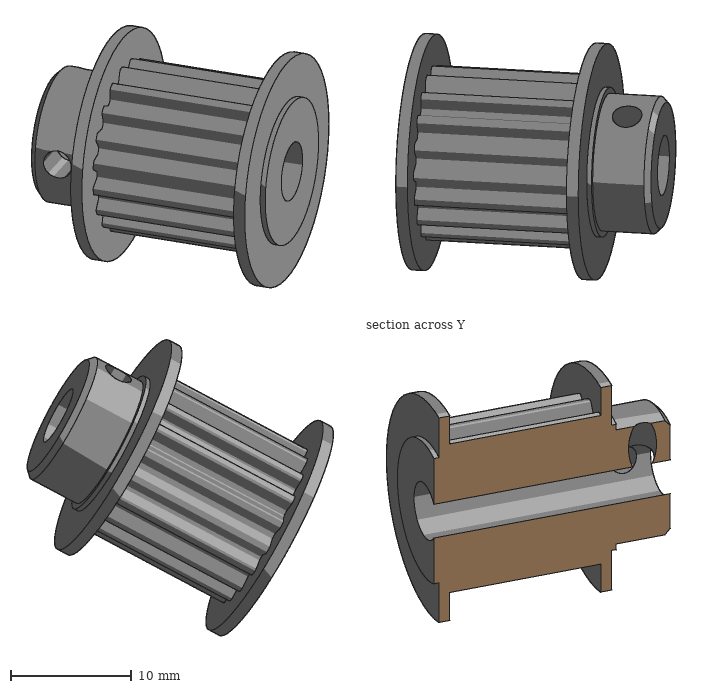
import cadquery as cq
import math


hub_end = 4.85
flange_1_start = 5.25
flange_2_start = 19.75
flange_thickness = 1.0
total_length = 21.2

bore_diameter = 5.0
hub_diameter = 11.5
collar_diameter = 12.5
flange_diameter = 19.75
hub_chamfer = 0.5

tooth_count = 19
tip_radius = 7.3
groove_depth = 0.97
floor_half_width = 0.182
floor_tilt = 6.3
root_fillet = 0.205
flank_angle = 33.75
tip_fillet = 0.265

screw_diameter = 2.46
screw_x = 2.5
screw_angles = (0, 120)

pitch_angle = 360 / tooth_count


def disc(diameter, start, end):
    """Cylinder on the X axis between two stations."""
    return cq.Workplane("YZ", origin=(start, 0, 0)).circle(diameter / 2).extrude(end - start)


def turned(point, angle):
    """Turn a (Y, Z) point about the X axis by an angle in degrees."""
    y, z = point
    c = math.cos(math.radians(angle))
    s = math.sin(math.radians(angle))
    return (y * c - z * s, y * s + z * c)


def polar(centre, radius, direction):
    """Point at a distance from a centre, in a direction in degrees from +Y towards +Z."""
    a = math.radians(direction)
    return (centre[0] + radius * math.cos(a), centre[1] + radius * math.sin(a))


def groove_points():
    """Points of the +Y half of a groove on +Z: bottom, floor edge, middle of the root
    fillet, flank foot, flank top, middle of the tip fillet, start of the tip land."""
    bottom = (0, tip_radius - groove_depth)
    floor_edge = (
        floor_half_width,
        bottom[1] + floor_half_width * math.tan(math.radians(floor_tilt)),
    )
    floor_normal = 90 + floor_tilt
    flank_normal = 180 - flank_angle
    root_centre = polar(floor_edge, root_fillet, floor_normal)
    root_middle = polar(root_centre, -root_fillet, (floor_normal + flank_normal) / 2)
    flank_foot = polar(root_centre, -root_fillet, flank_normal)

    start = polar(flank_foot, -tip_fillet, flank_normal)
    flank_direction = math.radians(90 - flank_angle)
    advance = start[0] * math.cos(flank_direction) + start[1] * math.sin(flank_direction)
    square_offset = start[0] * math.sin(flank_direction) - start[1] * math.cos(flank_direction)
    slide = math.sqrt((tip_radius - tip_fillet) ** 2 - square_offset**2) - advance
    tip_centre = polar(start, slide, 90 - flank_angle)
    land_normal = math.degrees(math.atan2(tip_centre[1], tip_centre[0]))
    flank_top = polar(tip_centre, tip_fillet, flank_normal)
    tip_middle = polar(tip_centre, tip_fillet, (flank_normal + land_normal) / 2)
    land_start = polar((0, 0), tip_radius, land_normal)
    return bottom, floor_edge, root_middle, flank_foot, flank_top, tip_middle, land_start


def toothed_section(start, end):
    """Toothed drum whose first groove faces -Y."""
    half_groove = groove_points()
    other_half = [(-y, z) for y, z in half_groove]
    first_groove = 90
    last_land = half_groove[-1]

    sketch = cq.Workplane("YZ", origin=(start, 0, 0)).moveTo(*turned(last_land, first_groove))
    for tooth in range(1, tooth_count + 1):
        angle = first_groove - tooth * pitch_angle
        land_middle = turned((0, tip_radius), angle + pitch_angle / 2)
        bottom, edge_in, root_in, foot_in, top_in, tip_in, land_in = [turned(p, angle) for p in other_half]
        _, edge_out, root_out, foot_out, top_out, tip_out, land_out = [turned(p, angle) for p in half_groove]
        sketch = (
            sketch.threePointArc(land_middle, land_in)
            .threePointArc(tip_in, top_in)
            .lineTo(*foot_in)
            .threePointArc(root_in, edge_in)
            .lineTo(*bottom)
            .lineTo(*edge_out)
            .threePointArc(root_out, foot_out)
            .lineTo(*top_out)
            .threePointArc(tip_out, land_out)
        )
    return sketch.close().extrude(end - start)


def screw_hole(angle):
    """Radial hole from the bore axis out through the hub wall."""
    hole = cq.Workplane("XZ", origin=(screw_x, 0, 0)).circle(screw_diameter / 2).extrude(hub_diameter)
    return hole.rotate((0, 0, 0), (1, 0, 0), -angle)


flange_1_end = flange_1_start + flange_thickness
flange_2_end = flange_2_start + flange_thickness

hub = disc(hub_diameter, 0, hub_end).faces("<X").chamfer(hub_chamfer)
result = (
    hub.union(disc(collar_diameter, hub_end, flange_1_start))
    .union(disc(flange_diameter, flange_1_start, flange_1_end))
    .union(toothed_section(flange_1_end, flange_2_start))
    .union(disc(flange_diameter, flange_2_start, flange_2_end))
    .union(disc(collar_diameter, flange_2_end, total_length))
)
result = result.cut(disc(bore_diameter, 0, total_length))
for screw_angle in screw_angles:
    result = result.cut(screw_hole(screw_angle))